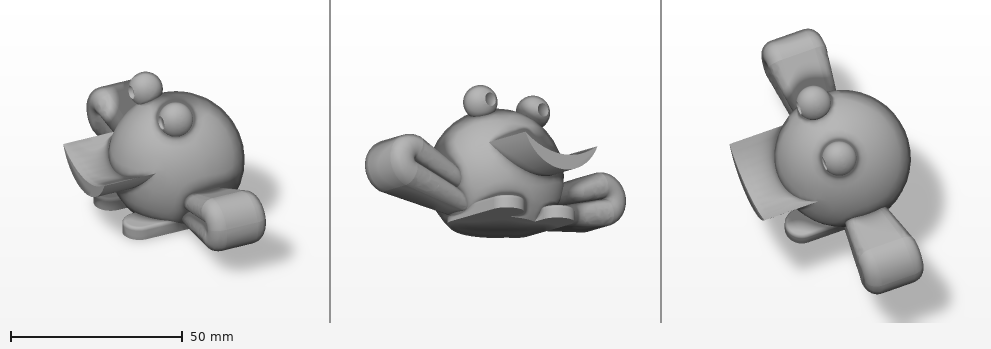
import cadquery as cq

ball_radius = 20.0
ball_height = 15.0
ball_box = 4 * ball_radius

eye_radius = 5.0
eye_offset_x = 10.0
eye_offset_y = -5.0
eye_height = 34.9
pupil_radius = 2.0

mouth_half_width = 13.7
mouth_tip_height = 20.8
mouth_upper_sag = 4.5
mouth_lower_sag = 9.0
mouth_reach = 30.0

foot_width = 10.0
foot_height = 4.0
foot_offset_x = 9.55
foot_front_y = -21.6
foot_back_y = 7.7
foot_edge_radius = 1.0

leg_reach = 44.2
leg_width = 18.0
prong_thickness = 8.0
leg_bend_height = 13.2
leg_tilt = 15.5
prong_length = 31.8
prong_end_scale = 0.51


def sphere(radius, center):
    return cq.Workplane("XY").sphere(radius).translate(center)


def make_ball():
    ball = sphere(ball_radius, (0, 0, ball_height))
    upper_half_space = cq.Workplane("XY").box(ball_box, ball_box, ball_box, centered=(True, True, False))
    return ball.intersect(upper_half_space)


def make_eye(side):
    center_x = side * eye_offset_x
    eye = sphere(eye_radius, (center_x, eye_offset_y, eye_height))
    pupil = sphere(pupil_radius, (center_x, eye_offset_y - eye_radius, eye_height))
    return eye.cut(pupil)


def make_mouth():
    """Crescent bar running forward from the middle of the ball."""
    return (
        cq.Workplane("XZ")
        .moveTo(-mouth_half_width, mouth_tip_height)
        .threePointArc((0, mouth_tip_height - mouth_upper_sag), (mouth_half_width, mouth_tip_height))
        .threePointArc((0, mouth_tip_height - mouth_lower_sag), (-mouth_half_width, mouth_tip_height))
        .close()
        .extrude(mouth_reach)
    )


def make_foot(side):
    foot_length = foot_back_y - foot_front_y
    foot_center_y = (foot_back_y + foot_front_y) / 2
    return (
        cq.Workplane("XY")
        .center(side * foot_offset_x, foot_center_y)
        .slot2D(foot_length, foot_width, 90)
        .extrude(foot_height)
        .faces(">Z")
        .edges()
        .fillet(foot_edge_radius)
    )


def prong_section(plane, scale):
    """Round-ended section of the upper prong, resting on the leg's middle plane."""
    thickness = prong_thickness * scale
    half_flat = (leg_width - prong_thickness) / 2 * scale
    round_reach = half_flat + thickness / 2
    return (
        plane.moveTo(-half_flat, 0)
        .lineTo(half_flat, 0)
        .threePointArc((round_reach, thickness / 2), (half_flat, thickness))
        .lineTo(-half_flat, thickness)
        .threePointArc((-round_reach, thickness / 2), (-half_flat, 0))
        .close()
    )


def make_prong(side, level, neighbours):
    """Prong with its half of the bend: level +1 is the upper one, -1 the lower one.

    It is built along +X with the bend axis on Y, then tilted, placed and trimmed.
    """
    bend = prong_section(cq.Workplane("YZ"), 1).revolve(90, (0, 0, 0), (1, 0, 0))
    root_plane = prong_section(cq.Workplane("YZ"), 1).workplane(offset=-prong_length)
    straight = prong_section(root_plane, prong_end_scale).loft(ruled=True)
    prong = straight.union(bend)
    if level < 0:
        prong = prong.mirror("XY")
    prong = prong.rotate((0, 0, 0), (0, 1, 0), -leg_tilt)
    prong = prong.translate((leg_reach - prong_thickness, 0, leg_bend_height))
    if side < 0:
        prong = prong.mirror("YZ")
    for neighbour in neighbours:
        prong = prong.cut(neighbour)
    return prong


sides = (-1, 1)
levels = (-1, 1)
ball = make_ball()
eyes = [make_eye(side) for side in sides]
feet = [make_foot(side) for side in sides]
prongs = [make_prong(side, level, [ball, *feet]) for side in sides for level in levels]

torso = ball.union(make_mouth())
for insert in eyes + feet:
    torso = torso.cut(insert)

bodies = [torso, *eyes, *feet, *prongs]
result = cq.Compound.makeCompound([solid for body in bodies for solid in body.solids().vals()])